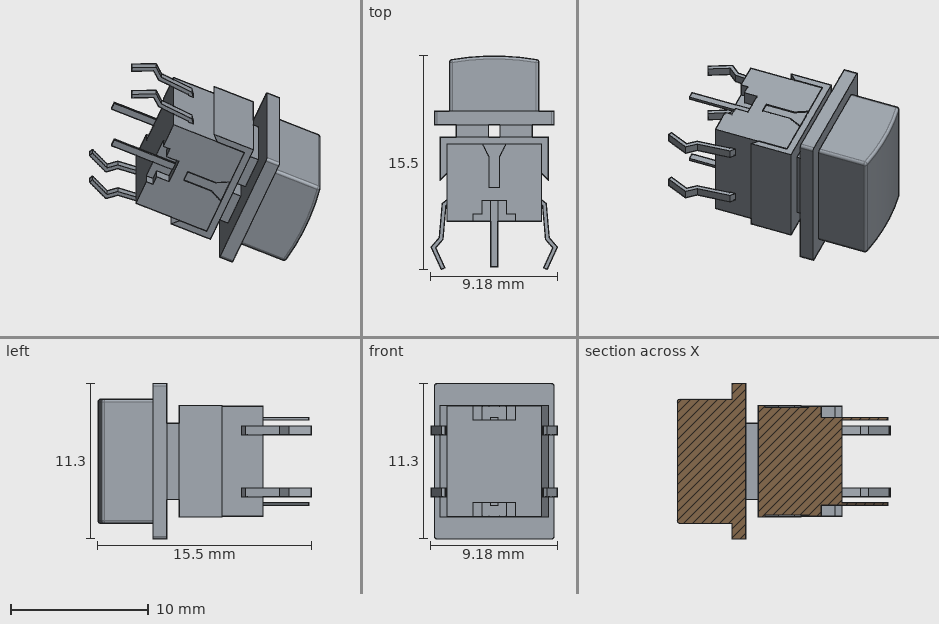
import cadquery as cq
import math


overall_length = 15.5

cap_width = 6.5
cap_height = 9.04
crown_y = 5.0
crown_rise = 0.3
cap_fillet = 0.22

flange_width = 8.7
flange_height = 11.3
flange_thickness = 1.0
flange_corner_radius = 0.2

neck_size = 5.55
neck_slot = 0.82
neck_length = 0.88

cover_wall = 0.48
cover_top_thickness = 0.51
cover_height = 8.1
cover_tip_y = -4.01
cover_top_y = -neck_length

body_width = 6.88
body_height = 8.0
body_top_y = cover_top_y - cover_top_thickness
body_bottom_y = -6.99

groove_depth = 0.1
groove_mouth_width = 1.69
groove_stem_width = 0.73
groove_neck_y = -2.35
groove_end_y = -4.54

notch_depth = 1.0
notch_wide = 3.1
notch_narrow = 1.77
notch_step_y = -6.46
notch_top_y = -5.47
pin_width = 0.51
pin_thickness = 0.2
pin_tip_y = -10.3

clip_width = 0.65
clip_thickness = 0.3
clip_offset_z = 2.25
clip_tip_y = crown_y - overall_length
clip_outer_path = [
    (3.1, -5.16),
    (3.78, -5.7),
    (4.0, -8.18),
    (4.59, -8.87),
    (3.85, clip_tip_y),
]


def block(width, height, y_low, y_high, z_centre=0.0):
    """Box centred on X = 0, spanning y_low to y_high, with the given size along X and Z."""
    box = cq.Workplane("XY").box(width, y_high - y_low, height)
    return box.translate((0, (y_low + y_high) / 2, z_centre))


def prism(outline, height):
    """Outline in the XY plane extruded symmetrically about Z = 0."""
    return outline.close().extrude(height / 2, both=True)


def with_mirror(shape, plane):
    """Shape joined with its mirror image."""
    return shape.union(shape.mirror(plane))


def inner_path(path, thickness):
    """Path shifted by the thickness to its right, with mitred bends and square ends."""
    directions = [math.atan2(b[1] - a[1], b[0] - a[0]) for a, b in zip(path, path[1:])]
    shifted = []
    for i, (x, y) in enumerate(path):
        before = directions[max(i - 1, 0)]
        after = directions[min(i, len(directions) - 1)]
        normal = (before + after) / 2 - math.pi / 2
        reach = thickness / math.cos((after - before) / 2)
        shifted.append((x + reach * math.cos(normal), y + reach * math.sin(normal)))
    return shifted


def make_cap():
    half = cap_width / 2
    shoulder_y = crown_y - crown_rise
    outline = (
        cq.Workplane("XY")
        .moveTo(-half, 0)
        .lineTo(-half, shoulder_y)
        .threePointArc((0, crown_y), (half, shoulder_y))
        .lineTo(half, 0)
    )
    cap = prism(outline, cap_height)
    cap = cap.edges("|Y").fillet(cap_fillet)
    return cap.faces(">Y").edges().fillet(cap_fillet)


def make_flange():
    flange = block(flange_width, flange_height, 0, flange_thickness)
    return flange.edges("|Y").fillet(flange_corner_radius)


def make_neck():
    neck = block(neck_size, neck_size, cover_top_y, 0)
    return neck.cut(block(neck_slot, neck_size, cover_top_y, 0))


def make_cover():
    inner = body_width / 2
    outer = inner + cover_wall
    bevel_y = cover_tip_y + cover_wall
    outline = cq.Workplane("XY").polyline([
        (-outer, cover_tip_y),
        (-outer, cover_top_y),
        (outer, cover_top_y),
        (outer, cover_tip_y),
        (inner, bevel_y),
        (inner, body_top_y),
        (-inner, body_top_y),
        (-inner, bevel_y),
    ])
    return prism(outline, cover_height)


def make_groove():
    mouth = groove_mouth_width / 2
    stem = groove_stem_width / 2
    outline = cq.Workplane("XY").polyline([
        (-mouth, body_top_y),
        (mouth, body_top_y),
        (stem, groove_neck_y),
        (stem, groove_end_y),
        (-stem, groove_end_y),
        (-stem, groove_neck_y),
    ])
    groove = outline.close().extrude(groove_depth)
    return groove.translate((0, 0, body_height / 2 - groove_depth))


def make_notch():
    centre_z = (body_height - notch_depth) / 2
    wide_part = block(notch_wide, notch_depth, body_bottom_y, notch_step_y, centre_z)
    narrow_part = block(notch_narrow, notch_depth, body_bottom_y, notch_top_y, centre_z)
    return wide_part.union(narrow_part)


def make_body():
    body = block(body_width, body_height, body_bottom_y, body_top_y)
    recesses = make_groove().union(make_notch())
    return body.cut(with_mirror(recesses, "XY"))


def make_pins():
    floor_z = body_height / 2 - notch_depth
    pin = block(pin_width, pin_thickness, pin_tip_y, notch_top_y, floor_z + pin_thickness / 2)
    return with_mirror(pin, "XY")


def make_clips():
    inner = inner_path(clip_outer_path, clip_thickness)
    clip = prism(cq.Workplane("XY").polyline(clip_outer_path + inner[::-1]), clip_width)
    side_pair = with_mirror(clip.translate((0, 0, clip_offset_z)), "XY")
    return with_mirror(side_pair, "YZ")


result = make_cap()
for section in (make_flange(), make_neck(), make_cover(), make_body(), make_pins(), make_clips()):
    result = result.union(section)